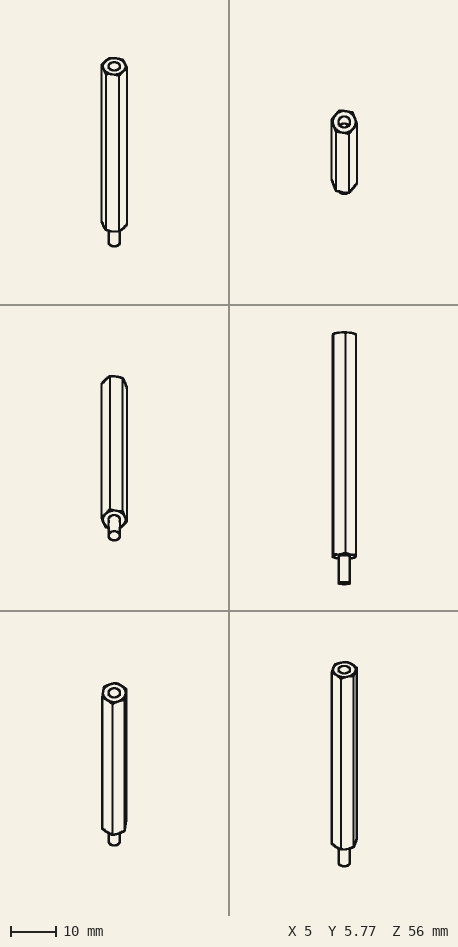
import cadquery as cq
import math

total_length = 56.0
stud_length = 6.0
across_flats = 5.0
thread_diameter = 2.5
end_chamfer_angle = 30.0

hex_length = total_length - stud_length
across_corners = across_flats / math.cos(math.pi / 6)
socket_depth = stud_length
corner_overhang = (across_corners - across_flats) / 2
chamfer_height = corner_overhang * math.tan(math.radians(end_chamfer_angle))


def make_corner_envelope():
    """Round bar with coned ends whose flat end circles touch the hexagon's flats."""
    end_radius = across_flats / 2
    corner_radius = across_corners / 2
    return (
        cq.Workplane("XZ")
        .moveTo(0, 0)
        .lineTo(end_radius, 0)
        .lineTo(corner_radius, chamfer_height)
        .lineTo(corner_radius, hex_length - chamfer_height)
        .lineTo(end_radius, hex_length)
        .lineTo(0, hex_length)
        .close()
        .revolve(360, (0, 0, 0), (0, 1, 0))
    )


def make_hex_spacer():
    """Hexagonal bar with corners on the Y axis, coned ends and a socket in the top."""
    bar = (
        cq.Workplane("XY")
        .transformed(rotate=(0, 0, 90))
        .polygon(6, across_corners)
        .extrude(hex_length)
        .intersect(make_corner_envelope())
    )
    return bar.faces(">Z").workplane().hole(thread_diameter, socket_depth)


def make_stud():
    """Plain cylindrical stud that meets the bottom face of the hexagonal bar."""
    return cq.Workplane("XY").circle(thread_diameter / 2).extrude(-stud_length)


hex_spacer = make_hex_spacer()
stud = make_stud()

result = cq.Compound.makeCompound([hex_spacer.val(), stud.val()])